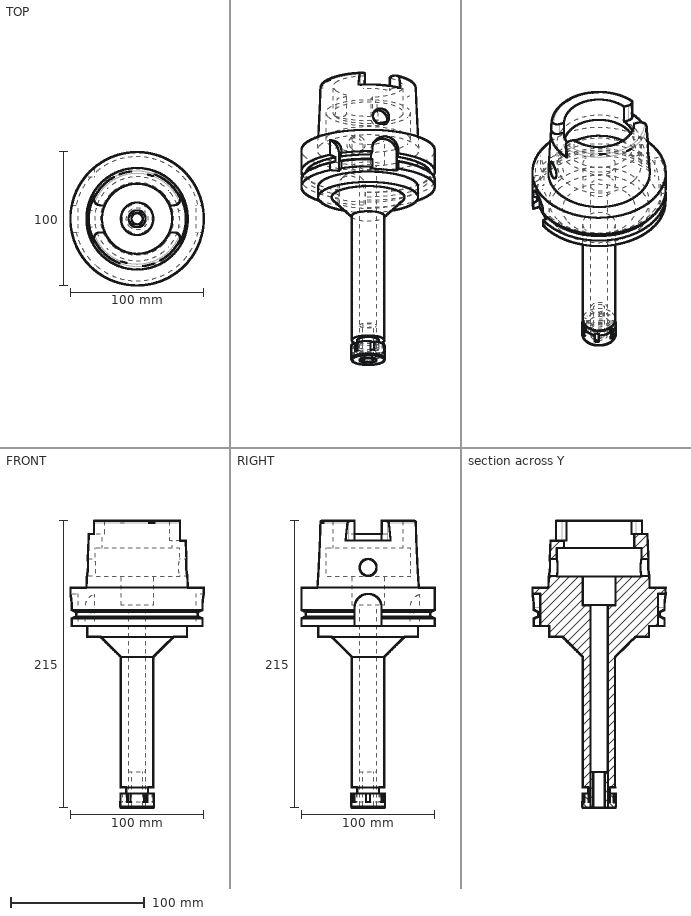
import cadquery as cq


spigot_height = 50.0
spigot_base_radius = 38.0
spigot_top_radius = 35.7
rim_fillet = 1.7

flange_diameter = 100.0
flange_radius = flange_diameter / 2
flange_height = 28.8
groove_floor_radius = 46.7
groove_center_depth = 20.0
groove_floor_width = 3.2
groove_mouth_width = 6.5

collar_radius = 37.5
collar_bottom = -37.0
cone_top_radius = 27.3
cone_bottom = -51.8
shank_radius = 12.3
nose_radius = 8.2
nose_gap = 4.5

clamp_bore_radius = 26.2
clamp_bore_depth = 20.6
undercut_radius = 31.5
undercut_floor = 8.4
coolant_port_diameter = 24.3
coolant_port_radius = coolant_port_diameter / 2
coolant_port_depth = 21.5
collet_bore_diameter = 12.7
collet_bore_radius = collet_bore_diameter / 2

drive_slot_width = 20.2
drive_slot_flat = 32.2
drive_slot_fillet = 4.5
left_slot_depth = 9.9
right_slot_depth = 15.0
cross_hole_radius = 6.2
cross_hole_height = 15.0

keyway_width = 20.2
keyway_top = -4.7
keyway_floor = 44.0
notch_floor = 32.0
notch_center_y = 41.5

nut_radius = 12.7
nut_height = 11.0
nut_chamfer = 0.54
nut_chamfer_height = 1.0
nut_lip = 4.3
nut_slot_count = 6
nut_slot_width = 3.0
nut_slot_length = 6.7
nut_slot_depth = 1.7

collet_length = 27.0
collet_hole_diameter = 8.4
collet_hole_radius = collet_hole_diameter / 2

overall_length = 215.0
tool_end = spigot_height - overall_length
nut_top = tool_end + nut_height
shank_bottom = nut_top + nose_gap
nose_end = tool_end + nut_lip
collet_top = tool_end + collet_length


def cylinder(radius, bottom, top):
    return cq.Workplane("XY").workplane(offset=bottom).circle(radius).extrude(top - bottom)


def holder_blank():
    """Turned outside of the holder, from the nose up to the rounded rim."""
    groove_middle = -groove_center_depth
    profile = [
        (0, nose_end),
        (nose_radius, nose_end),
        (nose_radius, shank_bottom),
        (shank_radius, shank_bottom),
        (shank_radius, cone_bottom),
        (cone_top_radius, collar_bottom),
        (collar_radius, collar_bottom),
        (collar_radius, -flange_height),
        (flange_radius, -flange_height),
        (flange_radius, groove_middle - groove_mouth_width / 2),
        (groove_floor_radius, groove_middle - groove_floor_width / 2),
        (groove_floor_radius, groove_middle + groove_floor_width / 2),
        (flange_radius, groove_middle + groove_mouth_width / 2),
        (flange_radius, 0),
        (spigot_base_radius, 0),
        (spigot_top_radius, spigot_height),
        (0, spigot_height),
    ]
    blank = cq.Workplane("XZ").polyline(profile).close().revolve(360, (0, 0), (0, 1))
    return blank.faces(">Z").edges().fillet(rim_fillet)


def holder_bore():
    """Clamping bore, its undercut, the coolant port and the bore for the collet."""
    clamp_bore = cylinder(clamp_bore_radius, undercut_floor, spigot_height)
    undercut = cylinder(undercut_radius, undercut_floor, spigot_height - clamp_bore_depth)
    coolant_port = cylinder(coolant_port_radius, undercut_floor - coolant_port_depth, undercut_floor)
    collet_bore = cylinder(collet_bore_radius, nose_end, undercut_floor)
    return clamp_bore.union(undercut).union(coolant_port).union(collet_bore)


def drive_slot(side, depth):
    """Slot through the rim on one X side, opening out to a flat with rounded corners."""
    half_width = drive_slot_width / 2
    wide = half_width + drive_slot_fillet
    inner = drive_slot_flat - drive_slot_fillet
    outer = flange_radius
    return (
        cq.Workplane("XY")
        .workplane(offset=spigot_height - depth)
        .moveTo(0, -half_width)
        .lineTo(side * inner, -half_width)
        .radiusArc((side * drive_slot_flat, -wide), side * drive_slot_fillet)
        .lineTo(side * drive_slot_flat, -outer)
        .lineTo(side * outer, -outer)
        .lineTo(side * outer, outer)
        .lineTo(side * drive_slot_flat, outer)
        .lineTo(side * drive_slot_flat, wide)
        .radiusArc((side * inner, half_width), side * drive_slot_fillet)
        .lineTo(0, half_width)
        .close()
        .extrude(depth)
    )


def cross_hole():
    hole = cq.Workplane("YZ").center(0, cross_hole_height).circle(cross_hole_radius)
    return hole.extrude(flange_radius, both=True)


def keyway(side, floor, center_y):
    """Arched cutter, open downwards, from a flat floor out past the flange on one X side."""
    half_width = keyway_width / 2
    spring_line = keyway_top - half_width
    return (
        cq.Workplane("YZ")
        .workplane(offset=side * floor)
        .moveTo(center_y - half_width, -flange_height)
        .lineTo(center_y - half_width, spring_line)
        .threePointArc((center_y, keyway_top), (center_y + half_width, spring_line))
        .lineTo(center_y + half_width, -flange_height)
        .close()
        .extrude(side * (flange_radius - floor))
    )


def make_holder():
    holder = holder_blank().cut(holder_bore()).cut(cross_hole())
    holder = holder.cut(drive_slot(-1, left_slot_depth)).cut(drive_slot(1, right_slot_depth))
    for side in (-1, 1):
        holder = holder.cut(keyway(side, keyway_floor, 0))
    return holder.cut(keyway(-1, notch_floor, notch_center_y))


def make_nut():
    """Nut around the nose, with wrench slots open at its upper face."""
    profile = [
        (collet_bore_radius, tool_end),
        (nut_radius - nut_chamfer, tool_end),
        (nut_radius, tool_end + nut_chamfer_height),
        (nut_radius, nut_top),
        (nose_radius, nut_top),
        (nose_radius, nose_end),
        (collet_bore_radius, nose_end),
    ]
    nut = cq.Workplane("XZ").polyline(profile).close().revolve(360, (0, 0), (0, 1))
    slot = cq.Workplane("XY").box(2 * nut_slot_depth, nut_slot_width, nut_slot_length)
    slot = slot.translate((nut_radius, 0, nut_top - nut_slot_length / 2))
    for index in range(nut_slot_count):
        nut = nut.cut(slot.rotate((0, 0, 0), (0, 0, 1), index * 360 / nut_slot_count))
    return nut


def make_collet():
    """Sleeve that fills the end of the holder bore and the opening of the nut."""
    return cylinder(collet_bore_radius, tool_end, collet_top).cut(
        cylinder(collet_hole_radius, tool_end, collet_top)
    )


holder = make_holder()
nut = make_nut()
collet = make_collet()

result = cq.Compound.makeCompound([holder.val(), nut.val(), collet.val()])